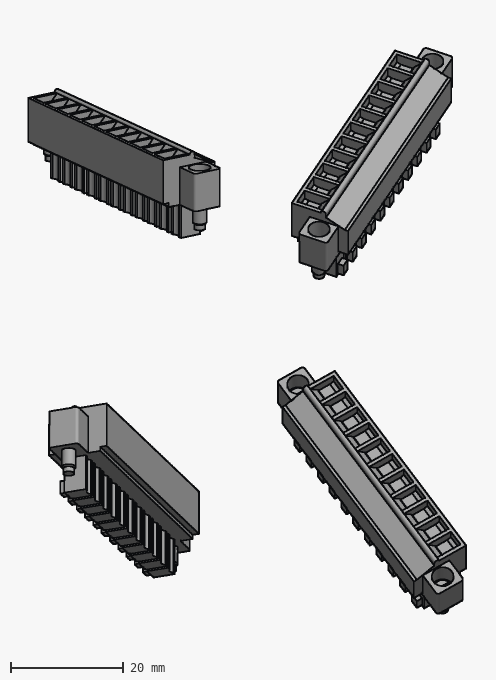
import cadquery as cq


overall_length = 52.3
block_length = 42.8
block_front_y = -6.4
block_back_y = 4.7
block_bottom_z = 6.6
bottom_step = 0.8
front_step_y = -5.2
back_edge_z = 13.3
back_edge_width = 0.65
slope_top_z = 14.8

ridge_back_y = 0.35
ridge_radius = 0.5
ridge_top_z = 16.1
block_top_z = ridge_top_z - ridge_radius
ridge_front_y = ridge_back_y - 2 * ridge_radius

flange_depth = 5.65
flange_top_z = 13.65
flange_corner_radius = 0.5

contact_count = 11
contact_pitch = 3.8
contact_width = 3.1

pocket_wall = 0.75
pocket_depth = 2.2
pocket_back_slope_drop = 1.9
pocket_front_slope_rise = 0.25
pocket_floor_front_y = -4.85
pocket_floor_back_y = -2.35

post_depth = 4.1
post_groove_width = 1.8
post_groove_depth = 0.35
tab_width = 1.7
tab_reach = 1.1
tab_bottom_z = 0.25
tab_height = 2.4

screw_inset = 2.6
head_diameter = 3.85
head_height = 1.55
head_chamfer = 0.35
head_seat_z = 8.15
drive_slot_width = 0.7
drive_slot_depth = 0.7
shank_diameter = 2.55
shank_end_z = 3.45
tip_diameter = 2.0
tip_end_z = 2.2

screw_x = overall_length / 2 - screw_inset
contact_xs = [(i - (contact_count - 1) / 2) * contact_pitch for i in range(contact_count)]


def extrude_along_x(profile, length, center_x=0.0):
    """Extrude a closed YZ sketch symmetrically about center_x."""
    return profile.extrude(length / 2, both=True).translate((center_x, 0, 0))


def make_block():
    raised_z = block_bottom_z + bottom_step
    back_step_y = flange_depth / 2
    profile = (
        cq.Workplane("YZ")
        .moveTo(block_front_y, raised_z)
        .lineTo(front_step_y, raised_z)
        .lineTo(front_step_y, block_bottom_z)
        .lineTo(back_step_y, block_bottom_z)
        .lineTo(back_step_y, raised_z)
        .lineTo(block_back_y, raised_z)
        .lineTo(block_back_y, back_edge_z)
        .lineTo(block_back_y - back_edge_width, back_edge_z)
        .lineTo(ridge_back_y, slope_top_z)
        .lineTo(ridge_back_y, block_top_z)
        .threePointArc((ridge_back_y - ridge_radius, ridge_top_z), (ridge_front_y, block_top_z))
        .lineTo(block_front_y, block_top_z)
        .close()
    )
    return extrude_along_x(profile, block_length)


def make_flange_bar():
    """One bar through the block whose two ends form the flanges."""
    return (
        cq.Workplane("XY", origin=(0, 0, block_bottom_z))
        .rect(overall_length, flange_depth)
        .extrude(flange_top_z - block_bottom_z)
        .edges("|Z")
        .fillet(flange_corner_radius)
    )


def make_pocket(center_x):
    """Opening with a sloping upper back wall and a floor that rises at the front."""
    floor_z = block_top_z - pocket_depth
    front_y = block_front_y + pocket_wall
    profile = (
        cq.Workplane("YZ")
        .moveTo(front_y, block_top_z)
        .lineTo(front_y, floor_z + pocket_front_slope_rise)
        .lineTo(pocket_floor_front_y, floor_z)
        .lineTo(pocket_floor_back_y, floor_z)
        .lineTo(pocket_floor_back_y, block_top_z - pocket_back_slope_drop)
        .lineTo(ridge_front_y, block_top_z)
        .close()
    )
    return extrude_along_x(profile, contact_width, center_x)


def make_post(center_x):
    """Post with a round groove down its front face and a tab on its back face."""
    front_y = -post_depth / 2
    half_groove = post_groove_width / 2
    half_width = contact_width / 2
    shaft = (
        cq.Workplane("XY")
        .moveTo(-half_width, front_y)
        .lineTo(-half_groove, front_y)
        .threePointArc((0, front_y + post_groove_depth), (half_groove, front_y))
        .lineTo(half_width, front_y)
        .lineTo(half_width, -front_y)
        .lineTo(-half_width, -front_y)
        .close()
        .extrude(block_bottom_z)
    )
    tab = cq.Workplane("XY").box(tab_width, tab_reach, tab_height, centered=(True, False, False))
    return shaft.union(tab.translate((0, -front_y, tab_bottom_z))).translate((center_x, 0, 0))


def make_screw_hole(center_x):
    """Counterbored hole that fits the screw head and shank."""
    shank_hole = (
        cq.Workplane("XY", origin=(center_x, 0, block_bottom_z))
        .circle(shank_diameter / 2)
        .extrude(head_seat_z - block_bottom_z)
    )
    head_hole = (
        cq.Workplane("XY", origin=(center_x, 0, head_seat_z))
        .circle(head_diameter / 2)
        .extrude(flange_top_z - head_seat_z)
    )
    return shank_hole.union(head_hole)


def make_housing():
    housing = make_block().union(make_flange_bar())
    for x in contact_xs:
        housing = housing.cut(make_pocket(x)).union(make_post(x))
    for x in (-screw_x, screw_x):
        housing = housing.cut(make_screw_hole(x))
    return housing


def make_screw(center_x):
    """Slotted screw with a chamfered head and a reduced tip."""
    head_top_z = head_seat_z + head_height
    tip_start_z = shank_end_z - (shank_diameter - tip_diameter) / 2
    screw = (
        cq.Workplane("XZ")
        .moveTo(0, tip_end_z)
        .lineTo(tip_diameter / 2, tip_end_z)
        .lineTo(tip_diameter / 2, tip_start_z)
        .lineTo(shank_diameter / 2, shank_end_z)
        .lineTo(shank_diameter / 2, head_seat_z)
        .lineTo(head_diameter / 2, head_seat_z)
        .lineTo(head_diameter / 2, head_top_z - head_chamfer)
        .lineTo(head_diameter / 2 - head_chamfer, head_top_z)
        .lineTo(0, head_top_z)
        .close()
        .revolve(360, (0, 0, 0), (0, 1, 0))
    )
    drive_slot = (
        cq.Workplane("XY", origin=(0, 0, head_top_z - drive_slot_depth))
        .rect(drive_slot_width, head_diameter)
        .extrude(drive_slot_depth)
    )
    return screw.cut(drive_slot).translate((center_x, 0, 0))


housing = make_housing()
screws = [make_screw(x) for x in (-screw_x, screw_x)]

result = cq.Compound.makeCompound([housing.val(), *[screw.val() for screw in screws]])